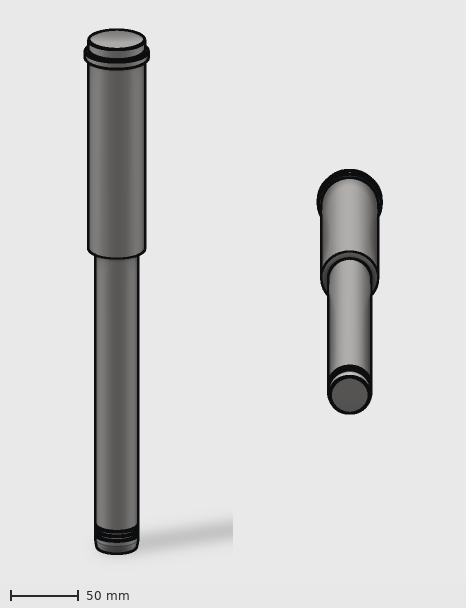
import cadquery as cq

length = 400.0
body_diameter = 42.0
body_radius = body_diameter / 2
shaft_radius = 16.0
top_chamfer = 1.0

shoulder_height = 235.0

collar_radius = 23.5
collar_bottom = 385.0
collar_top = 391.0
collar_chamfer = 1.0

relief_width = 1.0
relief_depth = 0.5

nose_height = 7.0
nose_diameter = 30.0
nose_radius = nose_diameter / 2
nose_bulge = 0.2
tip_radius = 14.0
tip_height = 1.0

groove_count = 3
groove_bottom = 10.5
groove_pitch = 3.5
groove_width = 1.0
groove_depth = 0.5


def make_pin():
    """Solid of revolution following the outside of the pin from nose to top."""
    nose_middle = ((nose_radius + shaft_radius) / 2 + nose_bulge, (tip_height + nose_height) / 2)
    return (
        cq.Workplane("XZ")
        .lineTo(tip_radius, 0)
        .lineTo(nose_radius, tip_height)
        .threePointArc(nose_middle, (shaft_radius, nose_height))
        .lineTo(shaft_radius, shoulder_height)
        .lineTo(body_radius, shoulder_height)
        .lineTo(body_radius, collar_bottom)
        .lineTo(collar_radius - collar_chamfer, collar_bottom)
        .lineTo(collar_radius, collar_bottom + collar_chamfer)
        .lineTo(collar_radius, collar_top - collar_chamfer)
        .lineTo(collar_radius - collar_chamfer, collar_top)
        .lineTo(body_radius, collar_top)
        .lineTo(body_radius, length - top_chamfer)
        .lineTo(body_radius - top_chamfer, length)
        .lineTo(0, length)
        .close()
        .revolve(360, (0, 0), (0, 1))
    )


def make_groove(outer_radius, depth, bottom, width):
    """Ring of material to remove from a cylinder of the given radius."""
    return (
        cq.Workplane("XY")
        .workplane(offset=bottom)
        .circle(outer_radius + depth)
        .circle(outer_radius - depth)
        .extrude(width)
    )


result = make_pin()

for index in range(groove_count):
    bottom = groove_bottom + index * groove_pitch
    result = result.cut(make_groove(shaft_radius, groove_depth, bottom, groove_width))

reliefs = [
    (shaft_radius, shoulder_height - relief_width),
    (body_radius, collar_bottom - relief_width),
    (body_radius, collar_top),
]
for radius, bottom in reliefs:
    result = result.cut(make_groove(radius, relief_depth, bottom, relief_width))